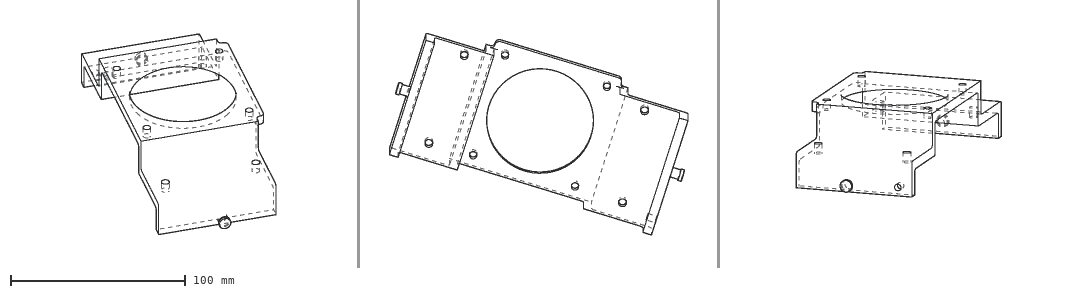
import cadquery as cq

HEIGHT = 41.0
DEPTH = 70.0
FULL_DEPTH = 75.0
PIN_SPAN = 171.0

OUTER_HALF_WIDTH = 78.5
LEG_THICKNESS = 5.25
RAISED_HALF_WIDTH = 42.5
RISER_THICKNESS = 4.75
PLATE_THICKNESS = 5.75
STEP_DROP = 20.0
BEND_RADIUS = 2.0
RISER_FOOT_RADIUS = 0.8

TAB_TOP_HALF_WIDTH = 37.6
TAB_ROOT_HALF_WIDTH = 38.1
TAB_CORNER_RADIUS = 2.5
TAB_ROOT_RADIUS = 2.0

CENTER_Y = FULL_DEPTH / 2
OPENING_DIAMETER = 61.0
OPENING_LIP_RADIUS = 2.0
MOUNT_SPACING = 61.0
MOUNT_DIAMETER = 4.2

FLANGE_HOLE_DIAMETER = 4.5
REAR_FLANGE_HOLE = (54.0, 65.0)
FRONT_FLANGE_HOLE = (58.0, 10.0)
LEG_HOLE_DIAMETER = 3.8
LEG_HOLE_Y = 8.5

PIN_Z = 5.0
PIN_DIAMETER = 5.8
PIN_HEAD_DIAMETER = 7.0
PIN_HEAD_LENGTH = 2.0
PIN_ROOT_RADIUS = 0.5

FLANGE_TOP = HEIGHT - STEP_DROP
FLANGE_BOTTOM = FLANGE_TOP - PLATE_THICKNESS
PLATE_BOTTOM = HEIGHT - PLATE_THICKNESS
LEG_INNER_X = OUTER_HALF_WIDTH - LEG_THICKNESS
RISER_INNER_X = RAISED_HALF_WIDTH - RISER_THICKNESS
SIDES = (-1, 1)
SELECT_MARGIN = 0.1


def round_edges_at(body, points, radius):
    """Round the Y-direction edges through the given (x, z) points, mirrored in X."""
    selector = None
    for x, z in points:
        for side in SIDES:
            box = cq.selectors.BoxSelector(
                (side * x - SELECT_MARGIN, -SELECT_MARGIN, z - SELECT_MARGIN),
                (side * x + SELECT_MARGIN, DEPTH + SELECT_MARGIN, z + SELECT_MARGIN),
            )
            selector = box if selector is None else selector + box
    return body.edges("|Y").edges(selector).fillet(radius)


def make_stepped_body():
    right_half = [
        (RISER_INNER_X, PLATE_BOTTOM),
        (RISER_INNER_X, FLANGE_BOTTOM),
        (LEG_INNER_X, FLANGE_BOTTOM),
        (LEG_INNER_X, 0),
        (OUTER_HALF_WIDTH, 0),
        (OUTER_HALF_WIDTH, FLANGE_TOP),
        (RAISED_HALF_WIDTH, FLANGE_TOP),
        (RAISED_HALF_WIDTH, HEIGHT),
    ]
    left_half = [(-x, z) for x, z in reversed(right_half)]
    body = cq.Workplane("XZ").polyline(right_half + left_half).close().extrude(-DEPTH)
    bends = [
        (RISER_INNER_X, PLATE_BOTTOM),
        (LEG_INNER_X, FLANGE_BOTTOM),
        (OUTER_HALF_WIDTH, FLANGE_TOP),
        (RAISED_HALF_WIDTH, FLANGE_TOP),
    ]
    body = round_edges_at(body, bends, BEND_RADIUS)
    return round_edges_at(body, [(RISER_INNER_X, FLANGE_BOTTOM)], RISER_FOOT_RADIUS)


def add_tab(body):
    tab = (
        cq.Workplane("XY", origin=(0, 0, PLATE_BOTTOM))
        .polyline([
            (-TAB_ROOT_HALF_WIDTH, DEPTH),
            (TAB_ROOT_HALF_WIDTH, DEPTH),
            (TAB_TOP_HALF_WIDTH, FULL_DEPTH),
            (-TAB_TOP_HALF_WIDTH, FULL_DEPTH),
        ])
        .close()
        .extrude(PLATE_THICKNESS)
    )
    body = body.union(tab)
    corners = (
        (TAB_ROOT_HALF_WIDTH, DEPTH, TAB_ROOT_RADIUS),
        (TAB_TOP_HALF_WIDTH, FULL_DEPTH, TAB_CORNER_RADIUS),
    )
    for side in SIDES:
        for x, y, radius in corners:
            corner = cq.selectors.BoxSelector(
                (side * x - SELECT_MARGIN, y - SELECT_MARGIN, 0),
                (side * x + SELECT_MARGIN, y + SELECT_MARGIN, HEIGHT),
            )
            body = body.edges("|Z").edges(corner).fillet(radius)
    return body


def vertical_holes(points, diameter):
    return cq.Workplane("XY").pushPoints(points).circle(diameter / 2).extrude(HEIGHT)


def cut_opening(body):
    body = body.cut(vertical_holes([(0, CENTER_Y)], OPENING_DIAMETER))
    lip = cq.selectors.RadiusNthSelector(-1)
    return body.faces(">Z").edges("%CIRCLE").edges(lip).fillet(OPENING_LIP_RADIUS)


def cut_holes(body):
    offset = MOUNT_SPACING / 2
    mounts = [(sx * offset, CENTER_Y + sy * offset) for sx in SIDES for sy in SIDES]
    body = body.cut(vertical_holes(mounts, MOUNT_DIAMETER))
    flange = [(side * x, y) for side in SIDES for x, y in (REAR_FLANGE_HOLE, FRONT_FLANGE_HOLE)]
    body = body.cut(vertical_holes(flange, FLANGE_HOLE_DIAMETER))
    leg_hole = (
        cq.Workplane("YZ", origin=(-OUTER_HALF_WIDTH, LEG_HOLE_Y, PIN_Z))
        .circle(LEG_HOLE_DIAMETER / 2)
        .extrude(LEG_THICKNESS)
    )
    return body.cut(leg_hole)


def add_pins(body):
    pin_end = PIN_SPAN / 2
    for side in SIDES:
        shank = (
            cq.Workplane("YZ", origin=(side * LEG_INNER_X, CENTER_Y, PIN_Z))
            .circle(PIN_DIAMETER / 2)
            .extrude(side * (pin_end - LEG_INNER_X))
        )
        head = (
            cq.Workplane("YZ", origin=(side * pin_end, CENTER_Y, PIN_Z))
            .circle(PIN_HEAD_DIAMETER / 2)
            .extrude(-side * PIN_HEAD_LENGTH)
        )
        body = body.union(shank)
        root = cq.selectors.BoxSelector(
            (side * OUTER_HALF_WIDTH - SELECT_MARGIN, CENTER_Y - PIN_DIAMETER, PIN_Z - PIN_DIAMETER),
            (side * OUTER_HALF_WIDTH + SELECT_MARGIN, CENTER_Y + PIN_DIAMETER, PIN_Z + PIN_DIAMETER),
        )
        body = body.edges("%CIRCLE").edges(root).fillet(PIN_ROOT_RADIUS)
        body = body.union(head)
    return body


result = add_pins(cut_holes(cut_opening(add_tab(make_stepped_body()))))